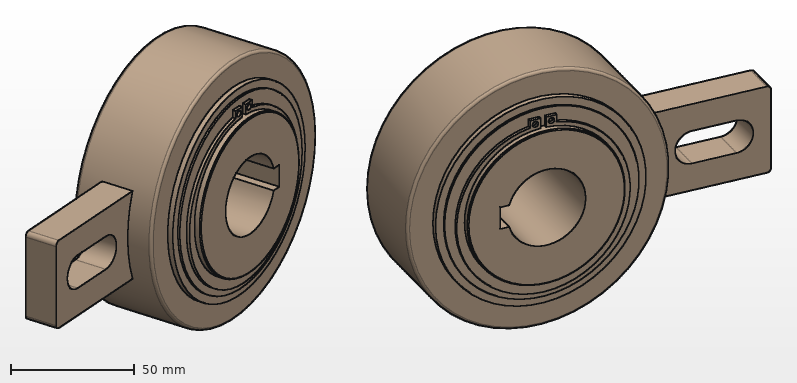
import cadquery as cq

body_radius = 59.0
body_width = 38.0
body_edge_radius = 1.25

cover_radius = 47.2
cover_span = 43.0
seal_radius = 43.6
seal_span = 45.0

hub_radius = 35.4
hub_length = 54.0
hub_chamfer = 0.5
bore_radius = 17.5
keyway_width = 10.0
keyway_reach = 20.8

ring_radius = 38.9
ring_drop = 1.75
ring_span = 48.0
lug_top = 40.0
lug_outer = 6.0
lug_gap = 2.4
eyelet_radius = 1.25
eyelet_height = 37.8

arm_reach = 110.0
arm_height = 40.0
arm_thickness = 15.0
arm_corner_radius = 2.0
slot_width = 15.0
slot_length = 35.0
slot_center = 84.5


def disc(radius, length, drop=0.0):
    """Disc with its axis along X, centred on X = 0 and lowered by drop."""
    return cq.Workplane("YZ").center(0, -drop).circle(radius).extrude(length / 2, both=True)


def block(x_size, y_min, y_max, z_min, z_max):
    """Box centred on X = 0 between the given Y and Z limits."""
    center = (0, (y_min + y_max) / 2, (z_min + z_max) / 2)
    return cq.Workplane("XY").box(x_size, y_max - y_min, z_max - z_min).translate(center)


def make_housing():
    body = disc(body_radius, body_width).edges("%CIRCLE").fillet(body_edge_radius)
    cover = disc(cover_radius, cover_span)
    seal = disc(seal_radius, seal_span)
    return body.union(cover).union(seal)


def make_retaining_rings():
    """Both rings as one through-going piece; only their ends stand proud of the seals."""
    lugs = block(ring_span, -lug_outer, lug_outer, 0, lug_top)
    gap = block(ring_span, -lug_gap / 2, lug_gap / 2, 0, lug_top)
    eyelet_pitch = lug_outer + lug_gap / 2
    eyelets = (
        cq.Workplane("YZ")
        .pushPoints([(-eyelet_pitch / 2, eyelet_height), (eyelet_pitch / 2, eyelet_height)])
        .circle(eyelet_radius)
        .extrude(ring_span / 2, both=True)
    )
    return disc(ring_radius, ring_span, ring_drop).union(lugs).cut(gap).cut(eyelets)


def make_arm():
    arm = block(arm_thickness, -arm_reach, 0, -arm_height / 2, arm_height / 2)
    arm = arm.edges("|X and <Y").fillet(arm_corner_radius)
    slot = (
        cq.Workplane("YZ")
        .center(-slot_center, 0)
        .slot2D(slot_length, slot_width)
        .extrude(arm_thickness / 2, both=True)
    )
    return arm.cut(slot)


def make_bore():
    keyway = block(hub_length, 0, keyway_reach, -keyway_width / 2, keyway_width / 2)
    return disc(bore_radius, hub_length).union(keyway)


hub = disc(hub_radius, hub_length).edges("%CIRCLE").chamfer(hub_chamfer)

result = make_retaining_rings().union(make_housing()).union(hub).union(make_arm()).cut(make_bore())